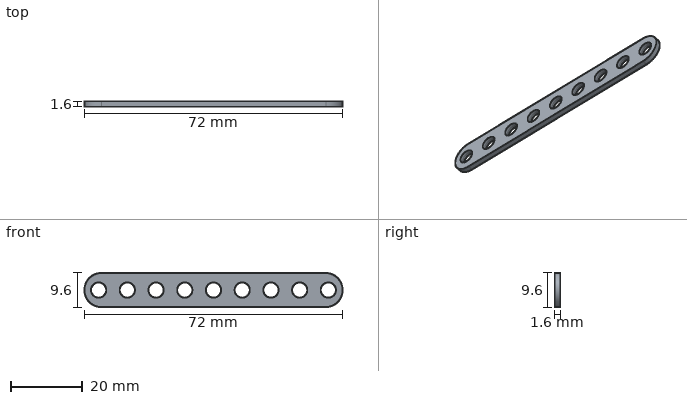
import cadquery as cq

length = 72.0
height = 9.6
thickness = 1.6
hole_diameter = 4.2
hole_count = 9
hole_pitch = length / hole_count

strip = cq.Workplane("XZ").slot2D(length, height).extrude(thickness / 2, both=True)

holes = (
    cq.Workplane("XZ")
    .rarray(hole_pitch, 0.7, hole_count, 1)
    .circle(hole_diameter / 2)
    .extrude(thickness, both=True)
)

result = strip.cut(holes)